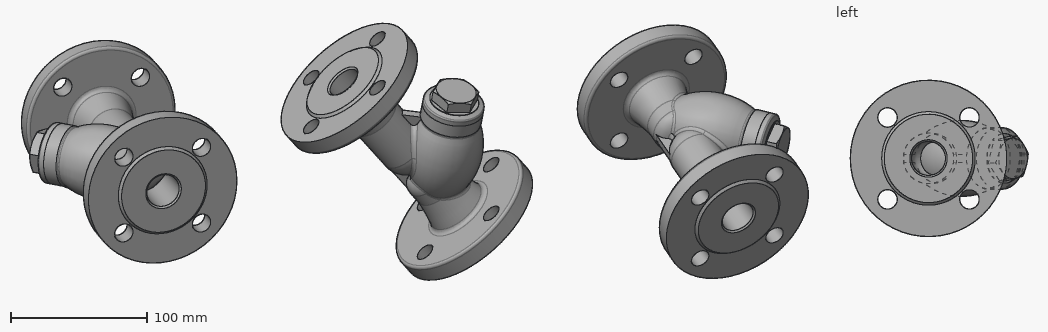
import cadquery as cq
import math

length = 160.0
half_length = length / 2
pipe_radius = 18.5
bore_radius = 12.5
bore_chamfer = 1.3
tolerance = 0.02

flange_diameter = 115.0
flange_radius = flange_diameter / 2
flange_back = 16.0
face_height = 2.0
face_radius = 34.4
flange_round = 2.2
bolt_radius = 7.0
bolt_spacing = 60.2

neck_end_radius = 23.8
neck_middle = 28.8
neck_middle_radius = 20.6
neck_length = 41.0
neck_fillet = 3.8

inlet_dome_x = -3.0
inlet_dome_round = 20.8
outlet_dome_x = 28.5
outlet_dome_round = 12.5
dome_gap_x = outlet_dome_x - outlet_dome_round

branch_x = 38.4
branch_angle = 45.0
bulb_radius = 28.0
bulb_center = 34.4
bulb_arc = 59.2
bulb_end = 60.6
collar_start = 62.2
collar_radius = 22.7
collar_end = 72.5
groove_fillet = 1.3
branch_fillet = 3.2

rib_thickness = 6.0
rib_top = 18.0

cap_rim_end = 77.1
cap_rim_fillet = 1.3
cap_cone_end = 78.7
cap_face = 79.2
cap_face_radius = 18.2
cap_end = 87.8
hex_flats = 30.0
hex_turn = 11.2
hex_face_radius = 14.9
hex_chamfer_angle = 25.0


def bulb_profile_radius(distance):
    """Radius of the bulb arc at a distance along the branch."""
    return math.sqrt(bulb_arc**2 - (distance - bulb_center)**2) - (bulb_arc - bulb_radius)


def bulb_tip():
    """Distance along the branch at which the bulb arc meets the branch axis."""
    return bulb_center - math.sqrt(bulb_arc**2 - (bulb_arc - bulb_radius)**2)


def branch_plane(distance):
    """Plane across the branch; its x points to +X -Y and its y to +Z."""
    turn = math.radians(branch_angle)
    along = cq.Vector(-math.cos(turn), -math.sin(turn), 0)
    across = cq.Vector(math.sin(turn), -math.cos(turn), 0)
    origin = cq.Vector(branch_x, 0, 0) + along * distance
    return cq.Plane(origin=origin, xDir=across, normal=along)


def branch_revolve(profile):
    """Revolve a (radius, distance) profile about the branch axis."""
    solid = profile.close().revolve(360, (0, 0, 0), (0, 1, 0))
    upright = solid.rotate((0, 0, 0), (1, 0, 0), 90).val()
    return cq.Workplane(upright.moved(cq.Location(branch_plane(0))))


def fillet_circle(solid, radius, x, fillet_radius):
    """Fillet the circular edge of the given radius in the plane at x."""
    edges = [
        edge for edge in solid.edges("%CIRCLE").vals()
        if abs(edge.radius() - radius) < tolerance and abs(edge.Center().x - x) < tolerance
    ]
    return solid.newObject(edges).fillet(fillet_radius)


def make_end():
    """Flange with raised face and flared neck at the -X end."""
    end = (
        cq.Workplane("XY")
        .moveTo(-half_length, 0)
        .lineTo(-half_length, face_radius - face_height)
        .lineTo(-half_length + face_height, face_radius)
        .lineTo(-half_length + face_height, flange_radius)
        .lineTo(-half_length + flange_back, flange_radius)
        .lineTo(-half_length + flange_back, neck_end_radius)
        .threePointArc(
            (-half_length + neck_middle, neck_middle_radius),
            (-half_length + neck_length, pipe_radius),
        )
        .lineTo(-half_length + neck_length, 0)
        .close()
        .revolve(360, (0, 0, 0), (1, 0, 0))
    )
    end = fillet_circle(end, flange_radius, -half_length + flange_back, flange_round)
    end = fillet_circle(end, neck_end_radius, -half_length + flange_back, neck_fillet)
    holes = (
        cq.Workplane("YZ", origin=(-half_length, 0, 0))
        .rect(bolt_spacing, bolt_spacing, forConstruction=True)
        .vertices()
        .circle(bolt_radius)
        .extrude(flange_back)
    )
    return end.cut(holes)


def make_inlet_pipe():
    """Plain pipe with a rounded end, on the -X side."""
    start = -half_length + neck_length
    dome_depth = dome_gap_x - inlet_dome_x
    tip_radius = pipe_radius - inlet_dome_round + math.sqrt(inlet_dome_round**2 - dome_depth**2)
    return (
        cq.Workplane("XY")
        .moveTo(start, 0)
        .lineTo(start, pipe_radius)
        .lineTo(inlet_dome_x, pipe_radius)
        .radiusArc((dome_gap_x, tip_radius), inlet_dome_round)
        .lineTo(dome_gap_x, 0)
        .close()
        .revolve(360, (0, 0, 0), (1, 0, 0))
    )


def make_outlet_pipe():
    """Plain pipe with a tightly rounded end, on the +X side."""
    start = half_length - neck_length
    return (
        cq.Workplane("XY")
        .moveTo(start, 0)
        .lineTo(start, pipe_radius)
        .lineTo(outlet_dome_x, pipe_radius)
        .radiusArc((dome_gap_x, pipe_radius - outlet_dome_round), -outlet_dome_round)
        .lineTo(dome_gap_x, 0)
        .close()
        .revolve(360, (0, 0, 0), (1, 0, 0))
    )


def make_bore(depth):
    """Chamfered bore from the -X sealing face."""
    bore = cq.Workplane("YZ", origin=(-half_length, 0, 0)).circle(bore_radius).extrude(depth)
    mouth = cq.Workplane(
        cq.Solid.makeCone(
            bore_radius + bore_chamfer, bore_radius, bore_chamfer,
            cq.Vector(-half_length, 0, 0), cq.Vector(1, 0, 0),
        )
    )
    return bore.union(mouth)


def make_bulb():
    """Solid bulb with the collar that carries the cap."""
    groove_radius = bulb_profile_radius(bulb_end)
    bulb = branch_revolve(
        cq.Workplane("XY")
        .moveTo(0, bulb_tip())
        .threePointArc((bulb_radius, bulb_center), (groove_radius, bulb_end))
        .lineTo(collar_radius, collar_start)
        .lineTo(collar_radius, collar_end)
        .lineTo(0, collar_end)
    )
    groove_x = branch_plane(bulb_end).origin.x
    return fillet_circle(bulb, groove_radius, groove_x, groove_fillet)


def make_rib():
    """Plate filling the notch between the domes and the corner between pipe and collar."""
    corner_x = branch_x - math.sqrt(2) * collar_start
    foot = branch_plane(collar_start).origin
    return (
        cq.Workplane("XY", origin=(0, 0, -rib_thickness / 2))
        .polyline([
            (inlet_dome_x, rib_top),
            (outlet_dome_x, rib_top),
            (outlet_dome_x, 0),
            (foot.x, foot.y),
            (corner_x, 0),
            (inlet_dome_x, 0),
        ])
        .close()
        .extrude(rib_thickness)
    )


def make_inlet_bore():
    """Bore with a domed end."""
    dome = cq.Workplane("XY", origin=(inlet_dome_x, 0, 0)).sphere(bore_radius)
    return make_bore(half_length + inlet_dome_x).union(dome)


def make_outlet_bore():
    """Bore ending flat where the outlet dome begins."""
    return make_bore(half_length - outlet_dome_x).mirror("YZ")


def fillet_joint(body, x_low, x_high):
    """Round the curved joint lines of pipe and bulb whose centres lie between two X limits."""
    edges = []
    for edge in body.edges("%BSPLINE").vals():
        center = edge.Center()
        if x_low < center.x < x_high and center.y > -pipe_radius:
            edges.append(edge)
    return body.newObject(edges).fillet(branch_fillet)


def make_housing():
    """Flanged pipe, bulb and rib; the solid bulb closes the inner ends of both bores."""
    inlet_end = make_end()
    outlet_end = inlet_end.mirror("YZ")
    pipes = inlet_end.union(make_inlet_pipe()).union(outlet_end).union(make_outlet_pipe())
    bulb = make_bulb()
    body = pipes.union(bulb)
    body = fillet_joint(body, dome_gap_x, half_length - neck_middle)
    body = fillet_joint(body, -half_length + neck_length, dome_gap_x)
    body = body.union(make_rib())
    bores = make_inlet_bore().union(make_outlet_bore())
    return body.cut(bores.cut(bulb))


def make_cap():
    """Round cap seated on the collar, with a chamfered hexagon."""
    base = branch_revolve(
        cq.Workplane("XY")
        .moveTo(0, collar_end)
        .lineTo(collar_radius, collar_end)
        .lineTo(collar_radius, cap_rim_end)
        .lineTo(cap_face_radius, cap_cone_end)
        .lineTo(cap_face_radius, cap_face)
        .lineTo(0, cap_face)
    )
    base = fillet_circle(base, collar_radius, branch_plane(cap_rim_end).origin.x, cap_rim_fillet)
    corner_radius = hex_flats / math.sqrt(3)
    hexagon = (
        cq.Workplane(branch_plane(cap_face))
        .transformed(rotate=(0, 0, hex_turn))
        .polygon(6, 2 * corner_radius)
        .extrude(cap_end - cap_face)
    )
    drop = (collar_radius - hex_face_radius) * math.tan(math.radians(hex_chamfer_angle))
    crown = branch_revolve(
        cq.Workplane("XY")
        .moveTo(0, cap_face)
        .lineTo(collar_radius, cap_face)
        .lineTo(collar_radius, cap_end - drop)
        .lineTo(hex_face_radius, cap_end)
        .lineTo(0, cap_end)
    )
    return base.union(hexagon.intersect(crown))


housing = make_housing()
cap = make_cap()
result = cq.Compound.makeCompound([housing.solids().val(), cap.solids().val()])